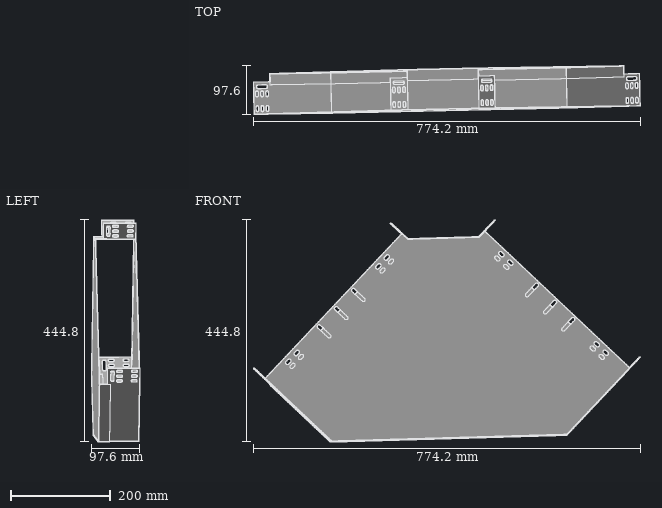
import cadquery as cq
import math


lean_about_x = -0.41
roll_about_y = -1.65
turn_about_z = 1.27

sheet = 1.0
tray_width = 400.0
outer_chamfer = 471.8
outer_leg = 183.2
inner_leg = 16.6
tab_length = 30.0
tab_height = 65.0

cover_setback = 16.0
lip_height = 22.5
overall_depth = 81.4

slot_width = 7.0
short_slot = 12.0
long_base_slot = 35.0
long_base_slot_inset = 21.3
long_base_slot_pitch = 50.0
cluster_offsets = (119.0, 143.5)
cluster_insets = (11.0, 22.8)

tab_slot_setbacks = (9.0, 23.0, 37.0)
tab_slot_heights = (11.5, 41.0)
long_tab_slot = 30.0
long_tab_slot_setback = tab_slot_setbacks[1]
long_tab_slot_height = 55.2

diagonal = math.sqrt(0.5)
miter = math.tan(math.radians(22.5))
wall_top = overall_depth - sheet
lip_start = overall_depth - lip_height
cut_reach = 2 * sheet

outer_tip = (outer_chamfer / 2 + outer_leg * diagonal, outer_leg * diagonal)
inner_tip = (outer_tip[0] - tray_width * diagonal, outer_tip[1] + tray_width * diagonal)
inner_corner = (inner_tip[0] - inner_leg * diagonal, inner_tip[1] - inner_leg * diagonal)
mouth_center = ((outer_tip[0] + inner_tip[0]) / 2, (outer_tip[1] + inner_tip[1]) / 2)


def bend_solid(grow, retreat, near, far):
    """Solid bend from depth near to far, walls moved outward by grow, mouths pulled in by retreat."""
    side = grow * diagonal
    back = retreat * diagonal
    right = [
        (outer_chamfer / 2 + grow * miter, -grow),
        (outer_tip[0] + side - back, outer_tip[1] - side - back),
        (inner_tip[0] - side - back, inner_tip[1] + side - back),
        (inner_corner[0] - grow * miter, inner_corner[1] + grow),
    ]
    left = [(-u, w) for u, w in reversed(right)]
    plane = cq.Workplane("XZ", origin=(0, near, 0))
    return plane.polyline(right + left).close().extrude(near - far)


def mouth_frame(side):
    """Mouth center, outward direction and direction from outer to inner wall; side is +1 or -1."""
    center = cq.Vector(side * mouth_center[0], 0, mouth_center[1])
    outward = cq.Vector(side * diagonal, 0, diagonal)
    across = cq.Vector(-side * diagonal, 0, diagonal)
    return center, outward, across


def base_slot(side, offset, inset, length, along_mouth):
    """Cutter for one slot in the base, lying along the mouth or square to it."""
    center, outward, across = mouth_frame(side)
    origin = center + across * offset - outward * inset
    plane = cq.Plane(origin=origin, xDir=across if along_mouth else outward, normal=(0, 1, 0))
    return cq.Workplane(plane).slot2D(length, slot_width).extrude(cut_reach, both=True)


def base_slots(side):
    """Three long slots at the middle of a mouth and a cluster of four short ones near each end."""
    slots = []
    for step in (-1, 0, 1):
        offset = step * long_base_slot_pitch
        slots.append(base_slot(side, offset, long_base_slot_inset, long_base_slot, False))
    for end in (-1, 1):
        for offset in cluster_offsets:
            for inset in cluster_insets:
                slots.append(base_slot(side, end * offset, inset, short_slot, True))
    return slots


def tab_workplane(side, end):
    """Outer face of the wall at a mouth's outer (end -1) or inner (end +1) side, facing the tray.

    Local x points out of the mouth. Also returns the sign of local y that rises from the base.
    """
    center, outward, across = mouth_frame(side)
    origin = center + across * (end * tray_width / 2)
    plane = cq.Plane(origin=origin, xDir=outward, normal=across * -end)
    rise = 1 if plane.yDir.y > 0 else -1
    return cq.Workplane(plane), rise


def tab(side, end):
    face, rise = tab_workplane(side, end)
    outline = face.center(tab_length / 2, rise * tab_height / 2).rect(tab_length, tab_height)
    return outline.extrude(sheet)


def tab_slots(side, end):
    """Two rows of upright short slots below one long slot."""
    face, rise = tab_workplane(side, end)
    short_centers = [
        (tab_length - setback, rise * height)
        for setback in tab_slot_setbacks
        for height in tab_slot_heights
    ]
    short_slots = face.pushPoints(short_centers).slot2D(short_slot, slot_width, 90)
    short_cutters = short_slots.extrude(cut_reach, both=True)
    long_center = (tab_length - long_tab_slot_setback, rise * long_tab_slot_height)
    long_slot = face.pushPoints([long_center]).slot2D(long_tab_slot, slot_width)
    long_cutter = long_slot.extrude(cut_reach, both=True)
    return [short_cutters, long_cutter]


def make_tray():
    """Base with walls that reach the cover, lower at the mouths, and a slotted tab on each wall end."""
    wall_ends = bend_solid(0, 0, 0, tab_height)
    covered_walls = bend_solid(0, cover_setback, 0, wall_top)
    cavity = bend_solid(-sheet, -sheet, sheet, overall_depth)
    body = wall_ends.union(covered_walls).cut(cavity)
    cutters = []
    for side in (-1, 1):
        cutters += base_slots(side)
        for end in (-1, 1):
            body = body.union(tab(side, end))
            cutters += tab_slots(side, end)
    for cutter in cutters:
        body = body.cut(cutter)
    return body


def make_cover():
    """Plate on the wall tops with a lip outside every wall, open at the mouths."""
    blank = bend_solid(sheet, cover_setback, lip_start, overall_depth)
    cavity = bend_solid(0, cover_setback - sheet, lip_start - sheet, wall_top)
    return blank.cut(cavity)


def tilted(body):
    pivot = (0, 0, 0)
    body = body.rotate(pivot, (1, 0, 0), lean_about_x)
    body = body.rotate(pivot, (0, 1, 0), roll_about_y)
    return body.rotate(pivot, (0, 0, 1), turn_about_z)


tray = tilted(make_tray())
cover = tilted(make_cover())
result = cq.Compound.makeCompound([tray.solids().val(), cover.solids().val()])